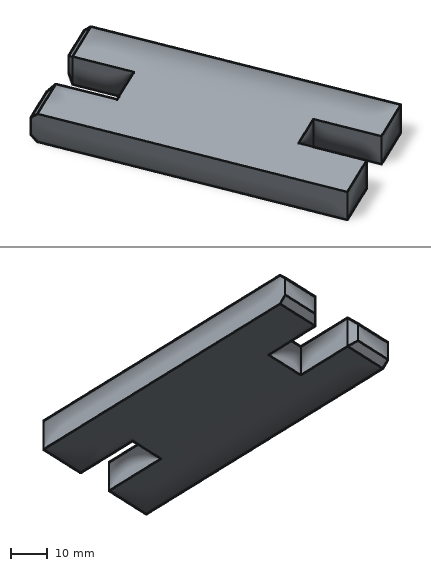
import cadquery as cq

length = 93.0
width = 40.0
thickness = 10.0

slot_depth = 20.0
left_slot_width = 12.5
right_slot_width = 11.0

chamfer_size = 2.0


def make_plate():
    """Plain rectangular plate centred on the origin."""
    return cq.Workplane("XY").box(length, width, thickness)


def make_end_slot(side, slot_width):
    """Full-thickness slot cutter for one end: side is -1 for -X, +1 for +X."""
    slot_center_x = side * (length - slot_depth) / 2
    cutter = cq.Workplane("XY").box(slot_depth, slot_width, thickness)
    return cutter.translate((slot_center_x, 0, 0))


def chamfer_left_end(body):
    """Chamfer the top, bottom and slot-mouth edges of the -X end faces.

    The outer corner edges of the plate stay sharp.
    """
    end_faces = body.faces("<X")
    top_and_bottom_edges = end_faces.edges("|Y")
    slot_mouth_edges = end_faces.edges("|Z").edges(
        cq.selectors.BoxSelector(
            (-length, -left_slot_width, -thickness),
            (length, left_slot_width, thickness),
        )
    )
    return top_and_bottom_edges.add(slot_mouth_edges).chamfer(chamfer_size)


slotted_plate = (
    make_plate()
    .cut(make_end_slot(-1, left_slot_width))
    .cut(make_end_slot(1, right_slot_width))
)
result = chamfer_left_end(slotted_plate)